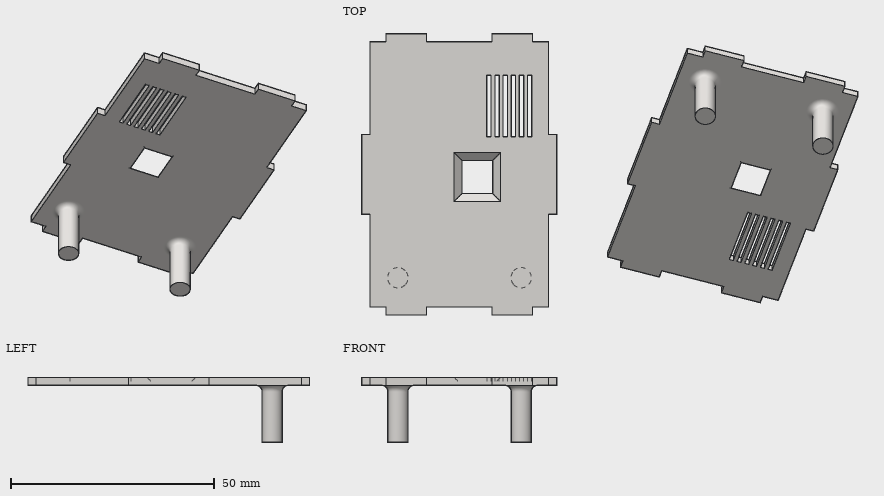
import cadquery as cq

overall_x = 47.97
overall_y = 69.22
thickness = 2.0
tab_depth = 2.0
body_x = overall_x - 2 * tab_depth
body_y = overall_y - 2 * tab_depth

side_tab_length = 19.7
end_tab_length = 10.0
end_tab_offset = 13.0

window_x = 7.5
window_y = 8.1
window_center = (4.45, -0.65)
window_flare = 1.95

slot_count = 6
slot_width = 1.0
slot_length = 15.0
slot_pitch = 2.0
vent_center = (12.3, 16.8)

post_diameter = 5.0
post_length = 14.0
post_fillet = 1.5
post_spacing = 30.3
post_middle_x = 0.07
post_y = -25.4


def make_plate():
    """Rectangular plate with one tab on each long side and two on each end."""
    plate = cq.Workplane("XY").rect(body_x, body_y).extrude(thickness)
    side_tabs = cq.Workplane("XY").rect(overall_x, side_tab_length).extrude(thickness)
    plate = plate.union(side_tabs)
    for x in (-end_tab_offset, end_tab_offset):
        end_tabs = cq.Workplane("XY").center(x, 0).rect(end_tab_length, overall_y).extrude(thickness)
        plate = plate.union(end_tabs)
    return plate


def make_window():
    """Cutter that is small at the underside and wide at the top face."""
    return (
        cq.Workplane("XY")
        .center(*window_center)
        .rect(window_x, window_y)
        .workplane(offset=thickness)
        .rect(window_x + 2 * window_flare, window_y + 2 * window_flare)
        .loft(ruled=True)
    )


def make_vent():
    """Cutter for the row of parallel slots running along Y."""
    return (
        cq.Workplane("XY")
        .center(*vent_center)
        .rarray(slot_pitch, 1, slot_count, 1)
        .rect(slot_width, slot_length)
        .extrude(thickness)
    )


def make_post(x):
    """Round post hanging below the plate, with a concave fillet at its root."""
    radius = post_diameter / 2
    root_radius = radius + post_fillet
    profile = (
        cq.Workplane("XZ")
        .lineTo(root_radius, 0)
        .radiusArc((radius, -post_fillet), -post_fillet)
        .lineTo(radius, -post_length)
        .lineTo(0, -post_length)
        .close()
    )
    post = profile.revolve(360, (0, 0, 0), (0, 1, 0))
    return post.translate((x, post_y, 0))


result = make_plate().cut(make_window()).cut(make_vent())
for side in (-1, 1):
    result = result.union(make_post(post_middle_x + side * post_spacing / 2))